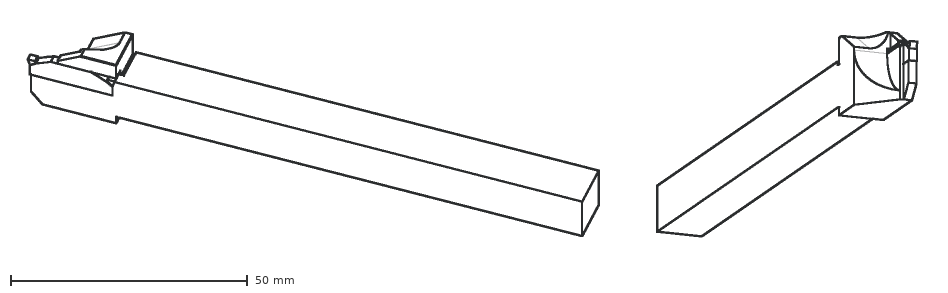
import cadquery as cq
import math

total_length = 125.0
shank_size = 10.1
shank_bottom = 1.9
shank_top = shank_bottom + shank_size

head_back = 20.0
head_height = 17.0
head_edge_chamfer = 0.1
blade_front = 0.8
blade_corner_x = 3.4
blade_corner_z = 3.0
blade_width = 1.9
rib_width = 2.6
rib_front = 3.6

jaw_front = 6.8
jaw_nose_top = 13.9
jaw_top_front = 12.0
jaw_bottom = 13.1
jaw_slope = math.atan2(head_height - jaw_nose_top, jaw_top_front - jaw_front)

relief_radius = 10.5
relief_wall_x = rib_front + shank_size - rib_width
scoop_radius = 4.5
scoop_flat_start = 6.8
scoop_low_z = 12.8

groove_width = 0.8
groove_depth = 0.8

insert_length = 19.6
insert_bottom = 7.9
insert_end_inset = 0.5
tip_length = 1.6
tip_notch_x = 1.9
tip_notch_z = 11.5
tip_flank_z = 10.5
tip_side_relief = 0.1
insert_top_start = 5.2


def prism(points, y_start, y_end):
    """Extrude an XZ outline between two Y positions."""
    outline = cq.Workplane("XZ", origin=(0, y_start, 0)).polyline(points).close()
    return outline.extrude(-(y_end - y_start))


def box(x_range, y_range, z_range):
    """Box spanning the given ranges."""
    size = [r[1] - r[0] for r in (x_range, y_range, z_range)]
    corner = (x_range[0], y_range[0], z_range[0])
    return cq.Workplane("XY").box(*size, centered=False).translate(corner)


def make_head():
    """Head side outline, with only the thin blade reaching the front."""
    head = prism(
        [
            (blade_front, blade_corner_z),
            (blade_corner_x, 0),
            (head_back, 0),
            (head_back, head_height),
            (blade_front, head_height),
        ],
        0,
        shank_size,
    )
    head = head.faces(">Z").edges(">X or <Y").chamfer(head_edge_chamfer)
    plan = (
        cq.Workplane("XY")
        .polyline(
            [
                (blade_front, 0),
                (head_back, 0),
                (head_back, shank_size),
                (relief_wall_x, shank_size),
                (rib_front, rib_width),
                (rib_front, blade_width),
                (blade_front, blade_width),
            ]
        )
        .close()
        .extrude(head_height)
    )
    return head.intersect(plan)


def jaw_front_cut():
    """Space in front of and above the inclined upper jaw."""
    return prism(
        [
            (0, shank_top),
            (jaw_front, shank_top),
            (jaw_front, jaw_nose_top),
            (jaw_top_front, head_height),
            (0, head_height),
        ],
        0,
        shank_size,
    )


def side_relief():
    """Concave relief beside the rib, and above it a wall beside the narrow jaw nose."""
    center_x = relief_wall_x - relief_radius
    cylinder = (
        cq.Workplane("XZ", origin=(center_x, rib_width, shank_top))
        .circle(relief_radius)
        .extrude(-shank_size)
    )
    lower = cylinder.intersect(box((0, total_length), (0, 2 * shank_size), (0, shank_top)))
    upper = box((0, relief_wall_x), (blade_width, shank_size), (shank_top, head_height))
    return lower.union(upper)


def jaw_scoop():
    """Inclined flat with a concave side, swept parallel to the jaw slope."""
    along = (math.cos(jaw_slope), 0, math.sin(jaw_slope))
    plane = cq.Plane(origin=(relief_wall_x, scoop_flat_start, scoop_low_z), xDir=(0, 1, 0), normal=along)
    diagonal = scoop_radius * math.sqrt(0.5)
    reach = head_back
    return (
        cq.Workplane(plane)
        .moveTo(0, 0)
        .lineTo(shank_size, 0)
        .lineTo(shank_size, scoop_radius)
        .lineTo(-scoop_radius, scoop_radius)
        .threePointArc((-diagonal, scoop_radius - diagonal), (0, 0))
        .close()
        .extrude(reach, both=True)
    )


def insert_pocket():
    """Seat for the insert and the clearance slot below the upper jaw."""
    seat_end = insert_length - insert_end_inset
    seat = prism(
        [
            (0, insert_bottom),
            (seat_end, insert_bottom),
            (seat_end, tip_flank_z),
            (insert_length, shank_top),
            (0, shank_top),
        ],
        0,
        blade_width,
    )
    slot = box((0, head_back), (0, rib_width), (shank_top, jaw_bottom))
    return seat.union(slot)


def make_holder():
    shank = box((head_back, total_length), (0, shank_size), (shank_bottom, shank_top))
    groove = box(
        (head_back, head_back + groove_width),
        (rib_width, shank_size),
        (shank_top - groove_depth, shank_top),
    )
    head = make_head().cut(jaw_front_cut()).cut(side_relief()).cut(jaw_scoop())
    return head.cut(insert_pocket()).union(shank.cut(groove))


def make_insert():
    """Double-ended cutting insert with narrowed tip sides."""
    half_outline = [
        (insert_end_inset, insert_bottom),
        (insert_end_inset, tip_flank_z),
        (0, shank_top),
        (tip_length, shank_top),
        (tip_notch_x, tip_notch_z),
        (insert_top_start, jaw_bottom),
    ]
    other_half = [(insert_length - x, z) for x, z in reversed(half_outline)]
    insert = prism(half_outline + other_half, 0, blade_width)

    tip = [(insert_end_inset, tip_flank_z), (0, shank_top), (tip_length, shank_top), (tip_notch_x, tip_notch_z)]
    for outline in (tip, [(insert_length - x, z) for x, z in tip]):
        for side in (0, blade_width - tip_side_relief):
            insert = insert.cut(prism(outline, side, side + tip_side_relief))
    return insert


holder = make_holder()
cutting_insert = make_insert()
result = cq.Compound.makeCompound([holder.solids().val(), cutting_insert.solids().val()])